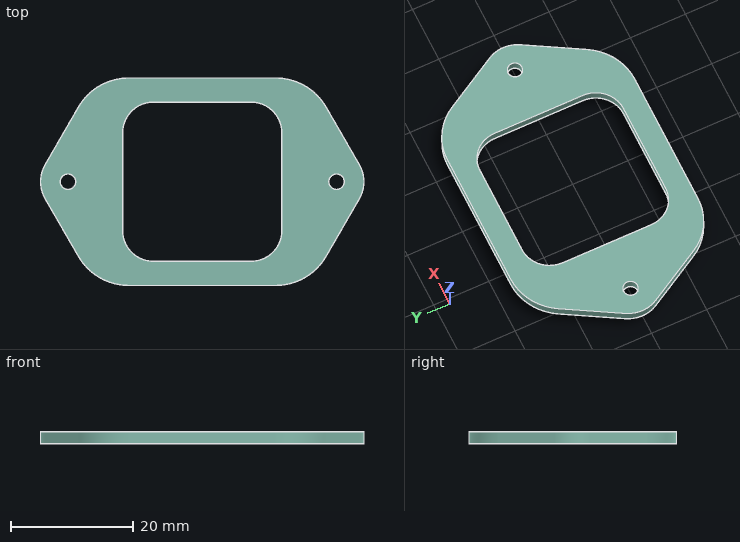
import cadquery as cq
import math

length = 53.0
width = 34.0
thickness = 2.0

side_angle = math.radians(60)
tip_radius = 5.55
corner_radius = 9.55

window_size = 26.0
window_radius = 5.0

hole_spacing = 44.0
hole_diameter = 2.5

sharp_tip_x = length / 2 + tip_radius * (1 / math.sin(side_angle) - 1)
sharp_corner_x = sharp_tip_x - width / 2 / math.tan(side_angle)


def make_plate():
    """Hexagonal plate with rounded tips and corners."""
    plate = (
        cq.Workplane("XY")
        .polyline([
            (sharp_tip_x, 0),
            (sharp_corner_x, width / 2),
            (-sharp_corner_x, width / 2),
            (-sharp_tip_x, 0),
            (-sharp_corner_x, -width / 2),
            (sharp_corner_x, -width / 2),
        ])
        .close()
        .extrude(thickness)
    )
    plate = plate.edges("|Z and (<X or >X)").fillet(tip_radius)
    for side in ("<Y", ">Y"):
        plate = plate.faces(side).edges("|Z").fillet(corner_radius)
    return plate


def make_window():
    """Square opening with rounded corners."""
    return (
        cq.Workplane("XY")
        .rect(window_size, window_size)
        .extrude(thickness)
        .edges("|Z")
        .fillet(window_radius)
    )


def make_holes():
    """One through hole near each tip."""
    return (
        cq.Workplane("XY")
        .pushPoints([(-hole_spacing / 2, 0), (hole_spacing / 2, 0)])
        .circle(hole_diameter / 2)
        .extrude(thickness)
    )


result = make_plate().cut(make_window()).cut(make_holes())